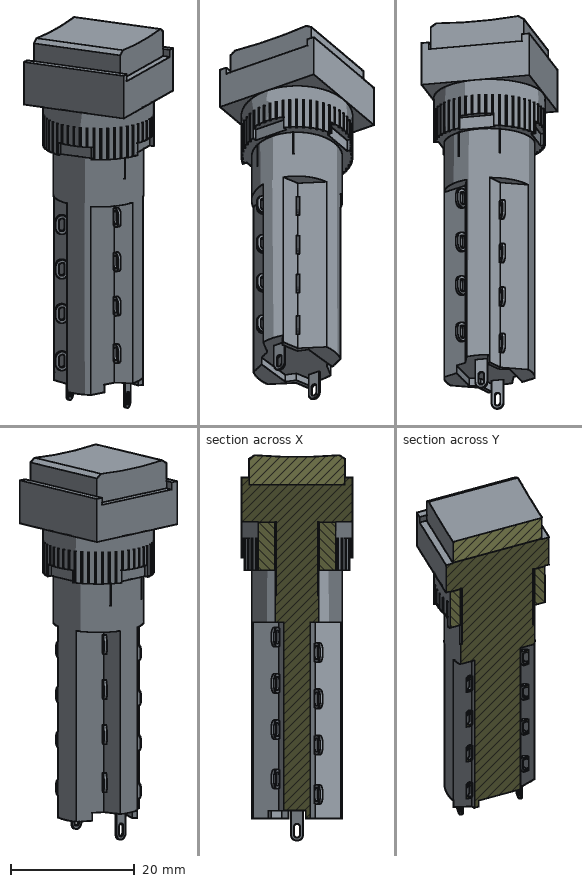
import cadquery as cq
import math


OVERALL_LENGTH = 62.3

BEZEL_SIDE = 18.0
BEZEL_HEIGHT = 7.15
CAP_SIDE = 15.6
CAP_SEAT_Z = 6.0
CAP_TOP_Z = 10.8
CAP_CHAMFER_WIDTH = 0.95
CAP_CHAMFER_HEIGHT = 0.6
CAP_DISH_DEPTH = 0.28

NUT_DIAMETER = BEZEL_SIDE
NUT_BOTTOM_Z = -7.85
GROOVE_COUNT = 50
GROOVE_WIDTH = 0.25
GROOVE_DEPTH = 0.25
GROOVE_TOP_Z = -2.6
NOTCH_COUNT = 4
NOTCH_WIDTH = 5.85
NOTCH_HEIGHT = 2.05
NOTCH_DEPTH = 1.25

BARREL_DIAMETER = 14.7
BARREL_BOTTOM_Z = -16.25
SLIT_OFFSET = 3.5
SLIT_WIDTH = 0.1
SLIT_DEPTH = 0.25
SLIT_BOTTOM_Z = -11.9

BLOCK_BOTTOM_Z = -48.0
X_LOBE_HALF_WIDTH = 1.95
Y_LOBE_HALF_WIDTH = 2.1
V_ROOT_X = 4.3
V_ROOT_Y = 2.9

POCKET_DEPTH = 1.3
POCKET_OVERRUN = 0.6
POCKET_MOUTH = (6.5, 1.4)
POCKET_INNER_CORNER = (3.6, 2.4)
POCKET_FAR_CORNER = (3.0, 4.2)
POCKET_NOTCH_EXIT = (-3.35, 4.6)

TERMINAL_X = 5.2
TERMINAL_WIDTH = 2.0
TERMINAL_THICKNESS = 0.3
TERMINAL_TIP_Z = CAP_TOP_Z - OVERALL_LENGTH
EYE_WIDTH = 0.95
EYE_LENGTH = 2.2

LOOP_WIDTH = 2.0
LOOP_HEIGHT = 3.2
LOOP_THICKNESS = 0.5
LOOP_CENTRE_RADIUS = 6.0
LOOP_ROWS = 4
LOOP_PITCH = 7.5
LOOP_TOP_Z = -18.65
LOOP_STAGGER = 2.5
LAST_ROW_DROP = 0.5

nut_radius = NUT_DIAMETER / 2
barrel_radius = BARREL_DIAMETER / 2


def z_box(x_size, y_size, bottom, top):
    """Box centred on the Z axis between two heights."""
    return cq.Workplane("XY", origin=(0, 0, bottom)).rect(x_size, y_size).extrude(top - bottom)


def z_cylinder(radius, bottom, top):
    """Cylinder on the Z axis between two heights."""
    return cq.Workplane("XY", origin=(0, 0, bottom)).circle(radius).extrude(top - bottom)


def make_bezel():
    """Square bezel with a slot along X that seats the cap."""
    bezel = z_box(BEZEL_SIDE, BEZEL_SIDE, 0, BEZEL_HEIGHT)
    return bezel.cut(z_box(BEZEL_SIDE, CAP_SIDE, CAP_SEAT_Z, BEZEL_HEIGHT))


def make_cap():
    """Button cap with two chamfered edges and a top dished along Y."""
    half = CAP_SIDE / 2
    rim = half - CAP_CHAMFER_WIDTH
    shoulder_z = CAP_TOP_Z - CAP_CHAMFER_HEIGHT
    return (
        cq.Workplane("YZ", origin=(-half, 0, 0))
        .moveTo(-half, CAP_SEAT_Z)
        .lineTo(half, CAP_SEAT_Z)
        .lineTo(half, shoulder_z)
        .lineTo(rim, CAP_TOP_Z)
        .threePointArc((0, CAP_TOP_Z - CAP_DISH_DEPTH), (-rim, CAP_TOP_Z))
        .lineTo(-half, shoulder_z)
        .close()
        .extrude(CAP_SIDE)
    )


def make_nut():
    """Knurled ring nut with four wrench notches in its lower edge."""
    nut = z_cylinder(nut_radius, NUT_BOTTOM_Z, 0).cut(z_cylinder(barrel_radius, NUT_BOTTOM_Z, 0))
    grooves = (
        cq.Workplane("XY", origin=(0, 0, NUT_BOTTOM_Z))
        .polarArray(nut_radius, -90, 360, GROOVE_COUNT)
        .rect(2 * GROOVE_DEPTH, GROOVE_WIDTH)
        .extrude(GROOVE_TOP_Z - NUT_BOTTOM_Z)
    )
    notches = (
        cq.Workplane("XY", origin=(0, 0, NUT_BOTTOM_Z))
        .polarArray(nut_radius, 0, 360, NOTCH_COUNT)
        .rect(2 * NOTCH_DEPTH, NOTCH_WIDTH)
        .extrude(NOTCH_HEIGHT)
    )
    notches = notches.cut(z_cylinder(nut_radius - NOTCH_DEPTH, NUT_BOTTOM_Z, 0))
    return nut.cut(grooves).cut(notches)


def make_barrel():
    """Round barrel with a pair of narrow vertical slits on its -X and +X sides."""
    barrel = z_cylinder(barrel_radius, BARREL_BOTTOM_Z, 0)
    slit_centre = SLIT_OFFSET - SLIT_WIDTH / 2
    slits = (
        cq.Workplane("XY", origin=(0, 0, SLIT_BOTTOM_Z))
        .pushPoints([(0, -slit_centre), (0, slit_centre)])
        .rect(BARREL_DIAMETER, SLIT_WIDTH)
        .extrude(-SLIT_BOTTOM_Z)
    )
    slits = slits.cut(z_cylinder(barrel_radius - SLIT_DEPTH, SLIT_BOTTOM_Z, 0))
    return barrel.cut(slits)


def make_v_notch(x_sign, y_sign):
    """Cutter for the V notch on one diagonal of the contact block."""
    x_lobe_edge = math.sqrt(barrel_radius**2 - X_LOBE_HALF_WIDTH**2)
    y_lobe_edge = math.sqrt(barrel_radius**2 - Y_LOBE_HALF_WIDTH**2)
    outline = [
        (x_lobe_edge, X_LOBE_HALF_WIDTH),
        (V_ROOT_X, V_ROOT_Y),
        (Y_LOBE_HALF_WIDTH, y_lobe_edge),
        (Y_LOBE_HALF_WIDTH, barrel_radius),
        (barrel_radius, barrel_radius),
        (barrel_radius, X_LOBE_HALF_WIDTH),
    ]
    return (
        cq.Workplane("XY", origin=(0, 0, BLOCK_BOTTOM_Z))
        .polyline([(x_sign * x, y_sign * y) for x, y in outline])
        .close()
        .extrude(BARREL_BOTTOM_Z - BLOCK_BOTTOM_Z)
    )


def make_pocket():
    """Cutter for the underside pocket, open at both X lobes; its second half is turned 180 degrees."""
    outside = barrel_radius + POCKET_OVERRUN
    half_outline = [
        (outside, X_LOBE_HALF_WIDTH),
        (math.sqrt(barrel_radius**2 - X_LOBE_HALF_WIDTH**2), X_LOBE_HALF_WIDTH),
        POCKET_MOUTH,
        POCKET_INNER_CORNER,
        POCKET_FAR_CORNER,
        POCKET_NOTCH_EXIT,
        (-outside, POCKET_NOTCH_EXIT[1]),
    ]
    other_half = [(-x, -y) for x, y in half_outline]
    return (
        cq.Workplane("XY", origin=(0, 0, BLOCK_BOTTOM_Z))
        .polyline(half_outline + other_half)
        .close()
        .extrude(POCKET_DEPTH)
    )


def make_loop(x_sign, y_sign, centre_z):
    """Upright oval eyelet in the radial plane through the root of one V notch."""
    root_angle = math.atan2(V_ROOT_Y, V_ROOT_X)
    x_part = x_sign * math.cos(root_angle)
    y_part = y_sign * math.sin(root_angle)
    plane = cq.Plane(
        origin=(LOOP_CENTRE_RADIUS * x_part, LOOP_CENTRE_RADIUS * y_part, centre_z),
        xDir=(0, 0, 1),
        normal=(y_part, -x_part, 0),
    )
    return (
        cq.Workplane(plane)
        .slot2D(LOOP_HEIGHT, LOOP_WIDTH)
        .slot2D(EYE_LENGTH, EYE_WIDTH)
        .extrude(LOOP_THICKNESS / 2, both=True)
    )


def make_terminal(x_centre):
    """Flat solder terminal with a round tip and an oblong eye."""
    top = BLOCK_BOTTOM_Z + POCKET_DEPTH
    tip_radius = TERMINAL_WIDTH / 2
    tip_centre_z = TERMINAL_TIP_Z + tip_radius
    rim = (TERMINAL_WIDTH - EYE_WIDTH) / 2
    eye_centre_z = TERMINAL_TIP_Z + rim + EYE_LENGTH / 2
    side = cq.Workplane("YZ", origin=(x_centre - TERMINAL_THICKNESS / 2, 0, 0))
    blade = (
        side.moveTo(-tip_radius, top)
        .lineTo(-tip_radius, tip_centre_z)
        .threePointArc((0, TERMINAL_TIP_Z), (tip_radius, tip_centre_z))
        .lineTo(tip_radius, top)
        .close()
        .extrude(TERMINAL_THICKNESS)
    )
    eye = side.center(0, eye_centre_z).slot2D(EYE_LENGTH, EYE_WIDTH, 90).extrude(TERMINAL_THICKNESS)
    return blade.cut(eye)


def make_contact_block():
    """Lobed contact block with its pocket, terminals and four rows of contact loops."""
    block = z_cylinder(barrel_radius, BLOCK_BOTTOM_Z, BARREL_BOTTOM_Z)
    diagonals = [(x_sign, y_sign) for x_sign in (-1, 1) for y_sign in (-1, 1)]
    for x_sign, y_sign in diagonals:
        block = block.cut(make_v_notch(x_sign, y_sign))
    block = block.cut(make_pocket())
    for x_centre in (-TERMINAL_X, TERMINAL_X):
        block = block.union(make_terminal(x_centre))
    for row in range(LOOP_ROWS):
        row_z = LOOP_TOP_Z - row * LOOP_PITCH
        if row == LOOP_ROWS - 1:
            row_z -= LAST_ROW_DROP
        for x_sign, y_sign in diagonals:
            drop = LOOP_STAGGER if x_sign == y_sign else 0
            block = block.union(make_loop(x_sign, y_sign, row_z - drop))
    return block


cap = make_cap()
nut = make_nut()
housing = make_bezel().union(make_barrel()).union(make_contact_block())

result = cq.Compound.makeCompound([cap.val(), nut.val(), housing.val()])